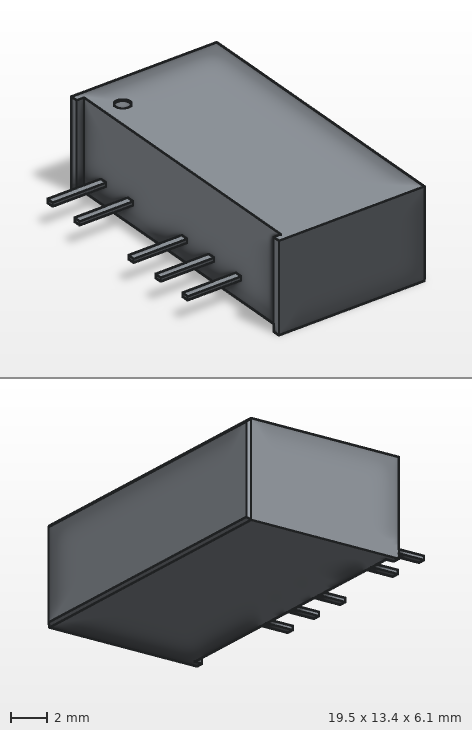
import cadquery as cq

case_length = 19.5
case_depth = 10.22
case_height = 6.1
back_chamfer = 0.2

foot_width = 0.5
foot_height = 0.5

overall_depth = 13.4
pin_width = 0.5
pin_thickness = 0.25
pin_pitch = 2.54
first_pin_x = -7.41
pin_slots = (0, 1, 3, 4, 5)
pin_center_z = 1.48
pin_embed = 0.2

mark_diameter = 1.0
mark_from_wall = 1.33
mark_depth = 0.1

pin_tip_y = -overall_depth / 2
case_back_y = overall_depth / 2
foot_y = case_back_y - case_depth
wall_y = foot_y + foot_height


def box_between(x_center, width, y_start, y_end, z_center, height):
    """Box centred on x_center and z_center, running from y_start to y_end."""
    y_center = (y_start + y_end) / 2
    return cq.Workplane("XY").box(width, y_end - y_start, height).translate((x_center, y_center, z_center))


def make_case():
    middle_z = case_height / 2
    body = box_between(0, case_length, foot_y, case_back_y, middle_z, case_height)
    body = body.faces(">Y").edges().chamfer(back_chamfer)
    recess_length = case_length - 2 * foot_width
    return body.cut(box_between(0, recess_length, foot_y, wall_y, middle_z, case_height))


def make_mark():
    return (
        cq.Workplane("XY", origin=(first_pin_x, wall_y + mark_from_wall, case_height - mark_depth))
        .circle(mark_diameter / 2)
        .extrude(mark_depth)
    )


def make_pin(slot):
    pin_x = first_pin_x + slot * pin_pitch
    return box_between(pin_x, pin_width, pin_tip_y, wall_y + pin_embed, pin_center_z, pin_thickness)


result = make_case().cut(make_mark())
for pin_slot in pin_slots:
    result = result.union(make_pin(pin_slot))